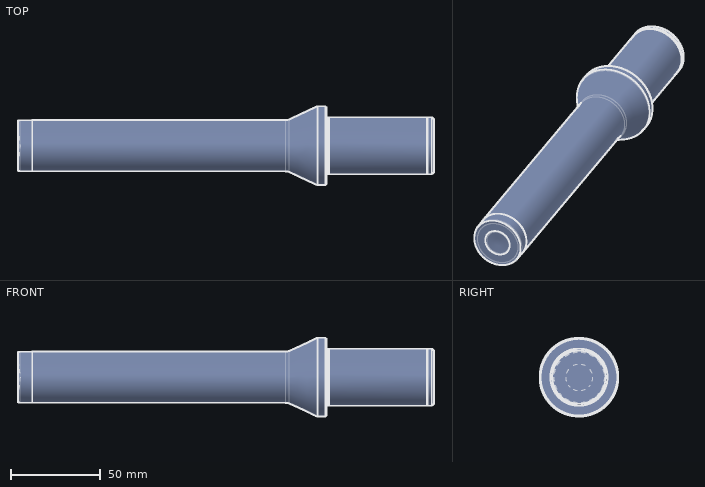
import cadquery as cq

TOTAL_LENGTH = 232.0
TIP_LENGTH = 8.0
FILLET_START = 149.0
CONE_START = 151.0
COLLAR_START = 167.0
COLLAR_END = 172.1
NECK_END = 172.8
SHANK_START = 173.5
RETAINING_GROOVE_START = 227.8
RETAINING_GROOVE_END = 228.5

ROD_DIAMETER = 28.8
TIP_DIAMETER = 28.5
TIP_RIM_DIAMETER = 28.0
CONE_SMALL_DIAMETER = 29.2
CONE_LARGE_DIAMETER = 43.5
COLLAR_DIAMETER = 44.0
SHANK_DIAMETER = 32.0
GROOVE_DIAMETER = 31.5

TIP_CHAMFER_LENGTH = 1.0
TIP_FACE_DIAMETER = 24.5
TIP_FACE_DEPTH = 0.2
COLLAR_FRONT_CHAMFER = 0.7
COLLAR_REAR_CHAMFER = 0.7
SHANK_CHAMFER = 1.2

DIMPLE_DIAMETER = 14.8
DIMPLE_FLOOR_DIAMETER = 13.5
DIMPLE_RIM_DEPTH = 0.5
DIMPLE_DEPTH = 1.2


def revolve_about_x(profile):
    """Revolve a closed half profile, drawn in the XY plane, around the X axis."""
    return profile.close().revolve(360, (0, 0, 0), (1, 0, 0))


def make_tip():
    """Chamfered end disc, slightly slimmer than the rod, with a dished face and a conical dimple."""
    return revolve_about_x(
        cq.Workplane("XY")
        .moveTo(DIMPLE_DEPTH, 0)
        .lineTo(DIMPLE_RIM_DEPTH, DIMPLE_FLOOR_DIAMETER / 2)
        .lineTo(TIP_FACE_DEPTH, DIMPLE_DIAMETER / 2)
        .lineTo(TIP_FACE_DEPTH, TIP_FACE_DIAMETER / 2)
        .lineTo(0, TIP_RIM_DIAMETER / 2)
        .lineTo(TIP_CHAMFER_LENGTH, TIP_DIAMETER / 2)
        .lineTo(TIP_LENGTH, TIP_DIAMETER / 2)
        .lineTo(TIP_LENGTH, 0)
    )


def make_holder():
    """Rod, flared collar and mounting shank turned from one piece."""
    rod_radius = ROD_DIAMETER / 2
    collar_radius = COLLAR_DIAMETER / 2
    shank_radius = SHANK_DIAMETER / 2
    groove_radius = GROOVE_DIAMETER / 2
    return revolve_about_x(
        cq.Workplane("XY")
        .moveTo(TIP_LENGTH, 0)
        .lineTo(TIP_LENGTH, rod_radius)
        .lineTo(FILLET_START, rod_radius)
        .tangentArcPoint((CONE_START, CONE_SMALL_DIAMETER / 2), relative=False)
        .lineTo(COLLAR_START - COLLAR_FRONT_CHAMFER, CONE_LARGE_DIAMETER / 2)
        .lineTo(COLLAR_START, collar_radius)
        .lineTo(COLLAR_END - COLLAR_REAR_CHAMFER, collar_radius)
        .lineTo(COLLAR_END, collar_radius - COLLAR_REAR_CHAMFER)
        .lineTo(COLLAR_END, groove_radius)
        .lineTo(NECK_END, groove_radius)
        .lineTo(SHANK_START, shank_radius)
        .lineTo(RETAINING_GROOVE_START, shank_radius)
        .lineTo(RETAINING_GROOVE_START, groove_radius)
        .lineTo(RETAINING_GROOVE_END, groove_radius)
        .lineTo(RETAINING_GROOVE_END, shank_radius)
        .lineTo(TOTAL_LENGTH - SHANK_CHAMFER, shank_radius)
        .lineTo(TOTAL_LENGTH, shank_radius - SHANK_CHAMFER)
        .lineTo(TOTAL_LENGTH, 0)
    )


tip = make_tip()
holder = make_holder()
result = cq.Compound.makeCompound([tip.val(), holder.val()])